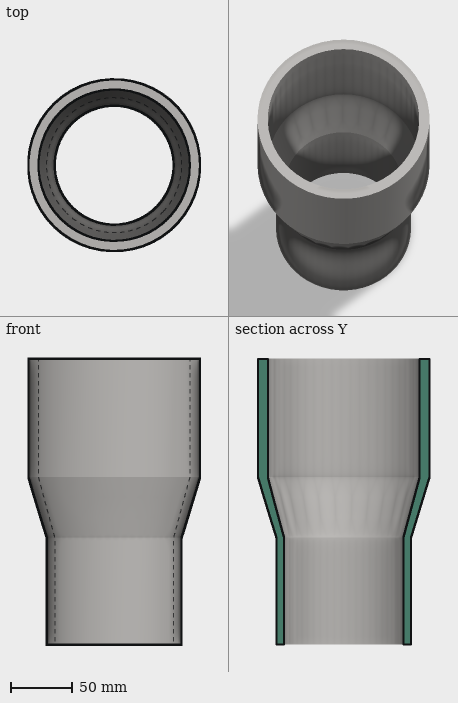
import cadquery as cq

total_height = 233.0
large_diameter = 140.0
small_diameter = 110.0
large_bore = 123.3
small_bore = 96.7
small_end_height = 87.1
large_end_height = 136.3


def reducer_solid(lower_diameter, upper_diameter):
    """Two coaxial cylinders joined by a cone, revolved about Z."""
    lower_radius = lower_diameter / 2
    upper_radius = upper_diameter / 2
    return (
        cq.Workplane("XZ")
        .moveTo(0, 0)
        .lineTo(lower_radius, 0)
        .lineTo(lower_radius, small_end_height)
        .lineTo(upper_radius, large_end_height)
        .lineTo(upper_radius, total_height)
        .lineTo(0, total_height)
        .close()
        .revolve(360, (0, 0, 0), (0, 1, 0))
    )


outer_body = reducer_solid(small_diameter, large_diameter)
bore = reducer_solid(small_bore, large_bore)

result = outer_body.cut(bore)